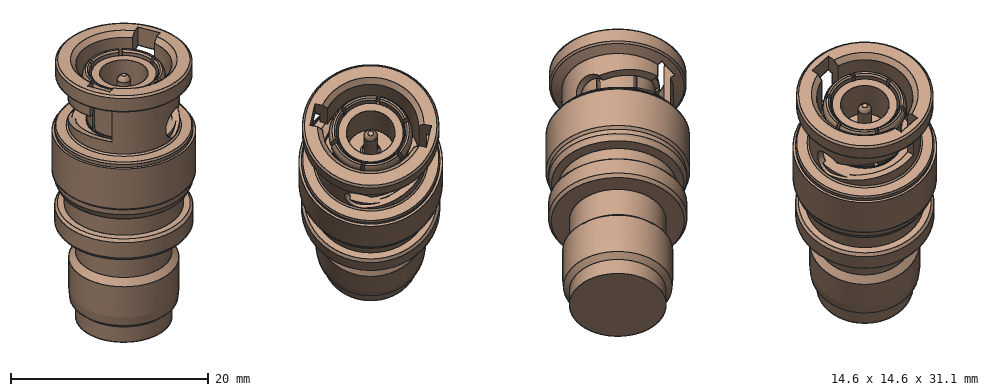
import cadquery as cq
import math

TOTAL_HEIGHT = 31.1

CABLE_RADIUS = 4.9
NUT_RADIUS = 5.6
NUT_TIP_RADIUS = 5.5
NUT_BOTTOM = 1.87
NUT_TAPER_START = 2.43
NUT_TAPER_END = 3.48
NUT_SHOULDER = 7.18
NUT_TOP = NUT_SHOULDER + NUT_RADIUS - CABLE_RADIUS

COLLAR_RADIUS = 7.03
COLLAR_BOTTOM = 11.23
COLLAR_TOP = 13.75
COLLAR_EDGE = 0.28
COLLAR_LOWER_EDGE = 0.37
STEP_RADIUS = 6.05
STEP_TOP = 15.7
NECK_RADIUS = 4.55

SLEEVE_RADIUS = 14.6 / 2
SLEEVE_END_RADIUS = COLLAR_RADIUS
SLEEVE_BOTTOM = 16.17
SLEEVE_BOTTOM_RADIUS = 6.72
SLEEVE_EDGE_RADIUS = 6.9
SLEEVE_EDGE_LOW = 16.65
SLEEVE_EDGE_HIGH = 16.85
SLEEVE_CONE_BOTTOM = 17.45
SLEEVE_CONE_TOP = 17.73
SLEEVE_STEP = 22.58
SLEEVE_TOP_EDGE = 22.95
SLEEVE_TOP = 23.17

RING_RADIUS = 5.65
RING_BORE_RADIUS = 4.88
RING_FOOT = 23.32
RING_FOOT_FLARE = 0.2
FLANGE_RADIUS = 6.95
FLANGE_BOTTOM_RADIUS = 6.75
FLANGE_TOP_RADIUS = 6.72
FLANGE_CONE_BOTTOM = 28.75
FLANGE_CONE_TOP = 29.15
FLANGE_EDGE_LOW = 29.33
FLANGE_EDGE_HIGH = 30.88
MOUTH_RADIUS = 5.4
MOUTH_DEPTH = 0.53
RING_FLOOR = 23.82
FLOOR_DISC_RADIUS = 5.3

ENTRY_WIDTH = 2.45
ENTRY_REACH = 6.03
LOCK_HOLE_RADIUS = 1.6
LOCK_HOLE_Z = 24.97
TRACK_ANGLE = 14.0
TRACK_WIDTH = 2.33
TRACK_LENGTH = 12.45

TUBE_RADIUS = 3.83
TUBE_LOWER_RADIUS = 3.73
TUBE_BORE_RADIUS = 3.5
TUBE_TOP = 29.85
TUBE_BULGE_RADIUS = 4.23
TUBE_BULGE_BOTTOM = 28.5
TUBE_BULGE_LOW = 28.83
TUBE_BULGE_HIGH = 29.05
TUBE_TIP_RADIUS = 3.92
TUBE_MOUTH_RADIUS = 3.7
TUBE_BASE_RADIUS = 3.83
TUBE_BASE_TOP = 24.0
SLIT_COUNT = 6
SLIT_WIDTH = 0.37

INSULATOR_RADIUS = 3.3
INSULATOR_BORE_RADIUS = 2.45
INSULATOR_TOP = 29.42
INSULATOR_FLOOR = 24.88
PIN_COLLAR_RADIUS = 1.05
PIN_COLLAR_HEIGHT = 0.3
PIN_COLLAR_TOP_RADIUS = 0.85
PIN_RADIUS = 0.68
PIN_TIP_RADIUS = 0.28
PIN_SHOULDER = 28.7
PIN_TOP = 29.23
PIN_NOSE_BULGE = 0.05


def revolve(points):
    """Turn a closed (radius, height) outline about the Z axis."""
    return cq.Workplane("XZ").polyline(points).close().revolve(360, (0, 0, 0), (0, 1, 0))


def make_shell():
    """Outer body from cable end to flange, hollow down to the ring floor."""
    return revolve([
        (0, 0),
        (CABLE_RADIUS, 0),
        (CABLE_RADIUS, NUT_BOTTOM),
        (NUT_TIP_RADIUS, NUT_TAPER_START),
        (NUT_RADIUS, NUT_TAPER_END),
        (NUT_RADIUS, NUT_SHOULDER),
        (CABLE_RADIUS, NUT_TOP),
        (CABLE_RADIUS, COLLAR_BOTTOM),
        (COLLAR_RADIUS - COLLAR_EDGE, COLLAR_BOTTOM),
        (COLLAR_RADIUS, COLLAR_BOTTOM + COLLAR_LOWER_EDGE),
        (COLLAR_RADIUS, COLLAR_TOP - COLLAR_EDGE),
        (COLLAR_RADIUS - COLLAR_EDGE, COLLAR_TOP),
        (STEP_RADIUS, COLLAR_TOP),
        (STEP_RADIUS, STEP_TOP),
        (NECK_RADIUS, STEP_TOP),
        (NECK_RADIUS, SLEEVE_BOTTOM),
        (SLEEVE_BOTTOM_RADIUS, SLEEVE_BOTTOM),
        (SLEEVE_EDGE_RADIUS, SLEEVE_EDGE_LOW),
        (SLEEVE_END_RADIUS, SLEEVE_EDGE_HIGH),
        (SLEEVE_END_RADIUS, SLEEVE_CONE_BOTTOM),
        (SLEEVE_RADIUS, SLEEVE_CONE_TOP),
        (SLEEVE_RADIUS, SLEEVE_STEP),
        (SLEEVE_END_RADIUS, SLEEVE_STEP),
        (SLEEVE_END_RADIUS, SLEEVE_TOP_EDGE),
        (SLEEVE_EDGE_RADIUS, SLEEVE_TOP),
        (RING_RADIUS + RING_FOOT_FLARE, SLEEVE_TOP),
        (RING_RADIUS, RING_FOOT),
        (RING_RADIUS, FLANGE_CONE_BOTTOM),
        (FLANGE_BOTTOM_RADIUS, FLANGE_CONE_TOP),
        (FLANGE_RADIUS, FLANGE_EDGE_LOW),
        (FLANGE_RADIUS, FLANGE_EDGE_HIGH),
        (FLANGE_TOP_RADIUS, TOTAL_HEIGHT),
        (MOUTH_RADIUS, TOTAL_HEIGHT),
        (RING_BORE_RADIUS, TOTAL_HEIGHT - MOUTH_DEPTH),
        (RING_BORE_RADIUS, RING_FLOOR),
        (0, RING_FLOOR),
    ])


def make_bayonet_track():
    """Cutter for the track that enters on the -Y side and locks on the -X side."""
    slope = math.radians(TRACK_ANGLE)
    half_entry = ENTRY_WIDTH / 2

    tangent_y = -LOCK_HOLE_RADIUS * math.sin(slope)
    tangent_z = LOCK_HOLE_Z - LOCK_HOLE_RADIUS * math.cos(slope)
    along = (-math.cos(slope), math.sin(slope))
    across = (math.sin(slope), math.cos(slope))
    low_start = (tangent_y, tangent_z)
    low_end = (tangent_y + TRACK_LENGTH * along[0], tangent_z + TRACK_LENGTH * along[1])
    high_end = (low_end[0] + TRACK_WIDTH * across[0], low_end[1] + TRACK_WIDTH * across[1])
    high_start = (tangent_y + TRACK_WIDTH * across[0], tangent_z + TRACK_WIDTH * across[1])

    outer_side = cq.Workplane("YZ").workplane(offset=-SLEEVE_RADIUS)
    incline = (
        outer_side.polyline([low_start, low_end, high_end, high_start]).close()
        .extrude(SLEEVE_RADIUS + half_entry)
    )
    lock_hole = outer_side.center(0, LOCK_HOLE_Z).circle(LOCK_HOLE_RADIUS).extrude(SLEEVE_RADIUS)

    entry_bottom = tangent_z + (RING_RADIUS + tangent_y) * math.tan(slope) + TRACK_WIDTH / 2
    entry = cq.Workplane("XY").box(
        ENTRY_WIDTH, ENTRY_REACH, TOTAL_HEIGHT - entry_bottom, centered=(True, False, False)
    ).translate((0, -ENTRY_REACH, entry_bottom))
    return incline.union(lock_hole).union(entry)


def make_contact_tube():
    """Springy contact tube with a bulged rim, split by radial slits."""
    mouth_chamfer = TUBE_MOUTH_RADIUS - TUBE_BORE_RADIUS
    tube = (
        cq.Workplane("XZ")
        .moveTo(TUBE_BORE_RADIUS, TUBE_BASE_TOP)
        .lineTo(TUBE_LOWER_RADIUS, TUBE_BASE_TOP)
        .lineTo(TUBE_RADIUS, TUBE_BULGE_BOTTOM)
        .lineTo(TUBE_BULGE_RADIUS, TUBE_BULGE_LOW)
        .lineTo(TUBE_BULGE_RADIUS, TUBE_BULGE_HIGH)
        .tangentArcPoint((TUBE_TIP_RADIUS, TUBE_TOP), relative=False)
        .lineTo(TUBE_MOUTH_RADIUS, TUBE_TOP)
        .lineTo(TUBE_BORE_RADIUS, TUBE_TOP - mouth_chamfer)
        .close()
        .revolve(360, (0, 0, 0), (0, 1, 0))
    )
    for index in range(SLIT_COUNT):
        slit = cq.Workplane("XY").box(
            RING_BORE_RADIUS, SLIT_WIDTH, TOTAL_HEIGHT - TUBE_BASE_TOP, centered=(False, True, False)
        ).translate((0, 0, TUBE_BASE_TOP))
        tube = tube.cut(slit.rotate((0, 0, 0), (0, 0, 1), index * 360 / SLIT_COUNT))
    return tube


def make_core():
    """Cup-shaped insulator with the centre pin standing on its floor."""
    collar_top = INSULATOR_FLOOR + PIN_COLLAR_HEIGHT
    body = revolve([
        (0, RING_FLOOR),
        (TUBE_BASE_RADIUS, RING_FLOOR),
        (TUBE_BASE_RADIUS, TUBE_BASE_TOP),
        (INSULATOR_RADIUS, TUBE_BASE_TOP),
        (INSULATOR_RADIUS, INSULATOR_TOP),
        (INSULATOR_BORE_RADIUS, INSULATOR_TOP),
        (INSULATOR_BORE_RADIUS, INSULATOR_FLOOR),
        (PIN_COLLAR_RADIUS, INSULATOR_FLOOR),
        (PIN_COLLAR_TOP_RADIUS, collar_top),
        (0, collar_top),
    ])
    pin = (
        cq.Workplane("XZ")
        .moveTo(0, INSULATOR_FLOOR)
        .lineTo(PIN_RADIUS, INSULATOR_FLOOR)
        .lineTo(PIN_RADIUS, PIN_SHOULDER)
        .sagittaArc((PIN_TIP_RADIUS, PIN_TOP), -PIN_NOSE_BULGE)
        .lineTo(0, PIN_TOP)
        .close()
        .revolve(360, (0, 0, 0), (0, 1, 0))
    )
    return body.union(pin)


track = make_bayonet_track()
opposite_track = track.rotate((0, 0, 0), (0, 0, 1), 180)
shell = make_shell()

floor_disc = shell.intersect(cq.Workplane("XY").circle(FLOOR_DISC_RADIUS).extrude(RING_FLOOR))
shell = shell.cut(track).cut(opposite_track).union(floor_disc)
result = shell.union(make_contact_tube()).union(make_core())